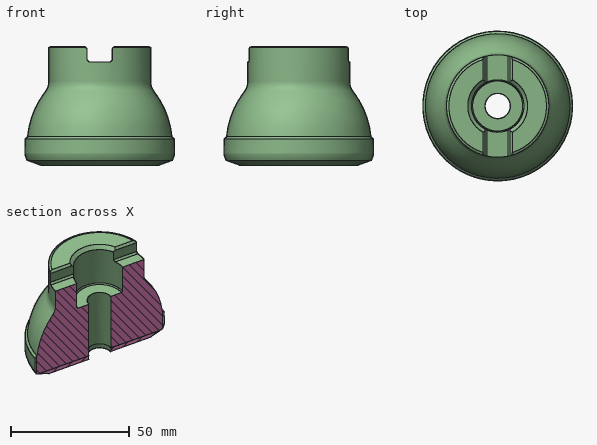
import cadquery as cq
import math

total_height = 50.0
seat_height = 2.2

holder_base_radius = 60.75 / 2
ring_top = 12.15
band_top_radius = 31.35
band_top = 11.15
cutting_radius = 31.5
cutting_widest_height = 4.9
bottom_face_radius = 24.5
bottom_corner_radius = 30.55
bottom_corner_height = seat_height
side_bulge_radius = 31.1
side_bulge_height = 3.45

dome_middle_radius = 28.4
dome_middle_height = 21.05
neck_radius = 43.0 / 2
flare_top = 35.0
flare_radius = 6.3
flare_angle = math.radians(35.4)
flare_cone_height = 0.75
neck_chamfer_width = 1.0
neck_chamfer_height = 0.4

through_hole_diameter = 10.5
bore_radius = 22.05 / 2
bore_depth = 20.0
bore_mouth_chamfer = 1.6
bore_floor_chamfer = 0.5

slot_width = 10.5
slot_depth = 6.5
slot_mouth_chamfer = 0.95
slot_floor_chamfer = 0.8


def make_cutting_ring():
    """Cup with a conical underside, a rounded side and a recess that seats the holder."""
    profile = (
        cq.Workplane("XZ")
        .lineTo(bottom_face_radius, 0)
        .lineTo(bottom_corner_radius, bottom_corner_height)
        .threePointArc((side_bulge_radius, side_bulge_height), (cutting_radius, cutting_widest_height))
        .lineTo(band_top_radius, band_top)
        .lineTo(holder_base_radius, ring_top)
        .lineTo(holder_base_radius, seat_height)
        .lineTo(0, seat_height)
        .close()
    )
    ring = profile.revolve(360, (0, 0, 0), (0, 1, 0))
    return ring.cut(make_through_hole())


def make_holder_blank():
    """Revolved outside of the holder, without its bore and slot."""
    def flare_point(angle):
        return (
            neck_radius + flare_radius * (1 - math.cos(angle)),
            flare_top - flare_radius * math.sin(angle),
        )

    flare_end = flare_point(flare_angle)
    dome_top = (
        flare_end[0] + flare_cone_height * math.tan(flare_angle),
        flare_end[1] - flare_cone_height,
    )
    profile = (
        cq.Workplane("XZ")
        .moveTo(0, seat_height)
        .lineTo(holder_base_radius, seat_height)
        .lineTo(holder_base_radius, ring_top)
        .threePointArc((dome_middle_radius, dome_middle_height), dome_top)
        .lineTo(*flare_end)
        .threePointArc(flare_point(flare_angle / 2), (neck_radius, flare_top))
        .lineTo(neck_radius, total_height - neck_chamfer_height)
        .lineTo(neck_radius - neck_chamfer_width, total_height)
        .lineTo(0, total_height)
        .close()
    )
    return profile.revolve(360, (0, 0, 0), (0, 1, 0))


def make_through_hole():
    """Cutter for the central hole that runs through both bodies."""
    return cq.Workplane("XY").circle(through_hole_diameter / 2).extrude(total_height)


def make_bore():
    """Cutter for the bore, with a chamfered mouth and a chamfered floor corner."""
    floor_height = total_height - bore_depth
    profile = (
        cq.Workplane("XZ")
        .moveTo(0, floor_height)
        .lineTo(bore_radius - bore_floor_chamfer, floor_height)
        .lineTo(bore_radius, floor_height + bore_floor_chamfer)
        .lineTo(bore_radius, total_height - bore_mouth_chamfer)
        .lineTo(bore_radius + bore_mouth_chamfer, total_height)
        .lineTo(0, total_height)
        .close()
    )
    return profile.revolve(360, (0, 0, 0), (0, 1, 0))


def make_drive_slot():
    """Cutter for the slot, with chamfered mouth edges and floor corners."""
    half_width = slot_width / 2
    floor_height = total_height - slot_depth
    profile = (
        cq.Workplane("XZ")
        .moveTo(0, floor_height)
        .lineTo(half_width - slot_floor_chamfer, floor_height)
        .lineTo(half_width, floor_height + slot_floor_chamfer)
        .lineTo(half_width, total_height - slot_mouth_chamfer)
        .lineTo(half_width + slot_mouth_chamfer, total_height)
        .lineTo(0, total_height)
        .close()
    )
    half_slot = profile.extrude(neck_radius, both=True)
    return half_slot.union(half_slot.mirror("YZ"))


def make_holder():
    """Domed holder with its neck, bore, through hole and drive slot."""
    return (
        make_holder_blank()
        .cut(make_through_hole())
        .cut(make_bore())
        .cut(make_drive_slot())
    )


cutting_ring = make_cutting_ring()
holder = make_holder()

result = cq.Compound.makeCompound([cutting_ring.val(), *holder.solids().vals()])